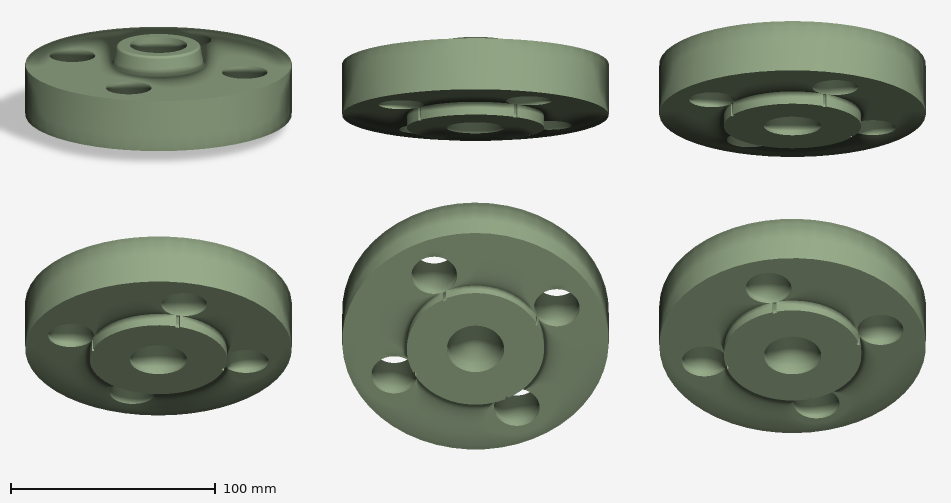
import cadquery as cq

flange_diameter = 130.05
flange_thickness = 25.4

face_diameter = 67.0
face_height = 6.35

total_height = 41.4
hub_base_diameter = 44.2
hub_taper_angle = 10.0
hub_fillet = 1.5
hub_height = total_height - flange_thickness - face_height

bore_diameter = 27.9
bolt_hole_diameter = 22.3
bolt_circle_diameter = 88.9
bolt_hole_count = 4

notch_width = 1.95
notch_depth = 1.0
notch_count = 4

flange_bottom = face_height
flange_top = flange_bottom + flange_thickness


def disc(diameter, bottom, height):
    return cq.Workplane("XY").workplane(offset=bottom).circle(diameter / 2).extrude(height)


def body():
    """Raised face, flange disc and tapered hub with rounded rim and root."""
    raised_face = disc(face_diameter, 0, face_height)
    flange = disc(flange_diameter, flange_bottom, flange_thickness)
    hub = (
        cq.Workplane("XY")
        .workplane(offset=flange_top)
        .circle(hub_base_diameter / 2)
        .extrude(hub_height, taper=hub_taper_angle)
    )
    solid = raised_face.union(flange).union(hub)
    hub_reach = hub_base_diameter / 2 + hub_fillet
    hub_edge_box = cq.selectors.BoxSelector(
        (-hub_reach, -hub_reach, flange_top - hub_fillet),
        (hub_reach, hub_reach, total_height + hub_fillet),
        boundingbox=True,
    )
    return solid.edges(hub_edge_box).edges("%CIRCLE").fillet(hub_fillet)


def bore():
    return disc(bore_diameter, 0, total_height)


def bolt_holes():
    return (
        cq.Workplane("XY")
        .workplane(offset=flange_bottom)
        .polarArray(bolt_circle_diameter / 2, 0, 360, bolt_hole_count)
        .circle(bolt_hole_diameter / 2)
        .extrude(flange_thickness)
    )


def face_notches():
    """Narrow upright notches, equally spaced, as tall as the raised face."""
    return (
        cq.Workplane("XY")
        .polarArray(face_diameter / 2, 0, 360, notch_count)
        .rect(2 * notch_depth, notch_width)
        .extrude(face_height)
    )


result = body().cut(bore()).cut(bolt_holes()).cut(face_notches())